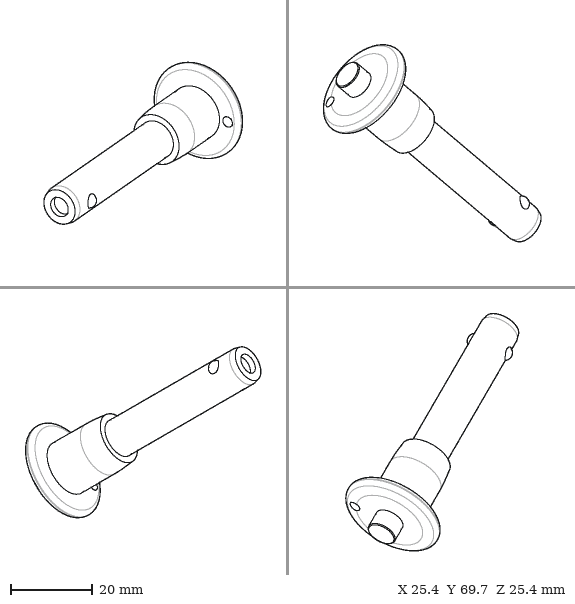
import cadquery as cq
import math

total_length = 69.7

shank_radius = 10.0 / 2
tip_radius = 9.2 / 2
tip_taper_length = 1.6
tip_bore_diameter = 5.15
tip_bore_depth = 1.7

ball_radius = 1.95
ball_span = 12.0
ball_from_tip = 7.0

barrel_radius = 14.2 / 2
barrel_end_radius = 13.3 / 2
barrel_straight_length = 11.3
barrel_curve_length = 6.35

flange_radius = 25.4 / 2
flange_thickness = 3.4
front_rim_radius = 1.25
back_rim_radius = 1.4
rim_band_width = 0.2
rim_angle = math.radians(70)
back_flat_radius = 9.05
lanyard_hole_diameter = 2.8
lanyard_hole_x = 9.5

button_radius = 7.4 / 2
button_length = 4.75
button_edge = 0.245

button_start = total_length - button_length
flange_front = button_start - flange_thickness
barrel_curve_end = flange_front - barrel_straight_length
barrel_start = barrel_curve_end - barrel_curve_length


def revolve_about_y(profile):
    return profile.close().revolve(360, (0, 0, 0), (0, 1, 0))


def make_shank():
    profile = (
        cq.Workplane("XY")
        .lineTo(tip_radius, 0)
        .lineTo(shank_radius, tip_taper_length)
        .lineTo(shank_radius, barrel_start)
        .lineTo(0, barrel_start)
    )
    return revolve_about_y(profile)


def make_barrel():
    drop = barrel_radius - barrel_end_radius
    curve_radius = (barrel_curve_length**2 + drop**2) / (2 * drop)
    half_length = barrel_curve_length / 2
    middle_radius = barrel_radius - curve_radius + math.sqrt(curve_radius**2 - half_length**2)
    profile = (
        cq.Workplane("XY")
        .moveTo(0, barrel_start)
        .lineTo(barrel_end_radius, barrel_start)
        .threePointArc((middle_radius, barrel_curve_end - half_length), (barrel_radius, barrel_curve_end))
        .lineTo(barrel_radius, flange_front)
        .lineTo(0, flange_front)
    )
    return revolve_about_y(profile)


def make_flange():
    band_start = flange_front + front_rim_radius
    band_end = band_start + rim_band_width

    def rim_point(radius, center_y, angle):
        return (
            flange_radius - radius + radius * math.cos(angle),
            center_y + radius * math.sin(angle),
        )

    profile = (
        cq.Workplane("XY")
        .moveTo(0, flange_front)
        .lineTo(flange_radius - front_rim_radius, flange_front)
        .threePointArc(
            rim_point(front_rim_radius, band_start, -math.pi / 4),
            (flange_radius, band_start),
        )
        .lineTo(flange_radius, band_end)
        .threePointArc(
            rim_point(back_rim_radius, band_end, rim_angle / 2),
            rim_point(back_rim_radius, band_end, rim_angle),
        )
        .tangentArcPoint((back_flat_radius, button_start), relative=False)
        .lineTo(0, button_start)
    )
    return revolve_about_y(profile)


def make_button():
    return (
        cq.Workplane("XZ", origin=(0, total_length, 0))
        .circle(button_radius)
        .extrude(button_length)
        .faces(">Y")
        .chamfer(button_edge)
    )


def make_balls():
    center_x = ball_span / 2 - ball_radius
    return (
        cq.Workplane("XY")
        .pushPoints([(-center_x, ball_from_tip), (center_x, ball_from_tip)])
        .sphere(ball_radius)
    )


def make_hole(diameter, x, start_y, depth):
    return cq.Workplane("XZ", origin=(x, start_y, 0)).circle(diameter / 2).extrude(-depth)


result = (
    make_shank()
    .union(make_barrel())
    .union(make_flange())
    .union(make_button())
    .union(make_balls())
    .cut(make_hole(tip_bore_diameter, 0, 0, tip_bore_depth))
    .cut(make_hole(lanyard_hole_diameter, lanyard_hole_x, flange_front, flange_thickness))
)